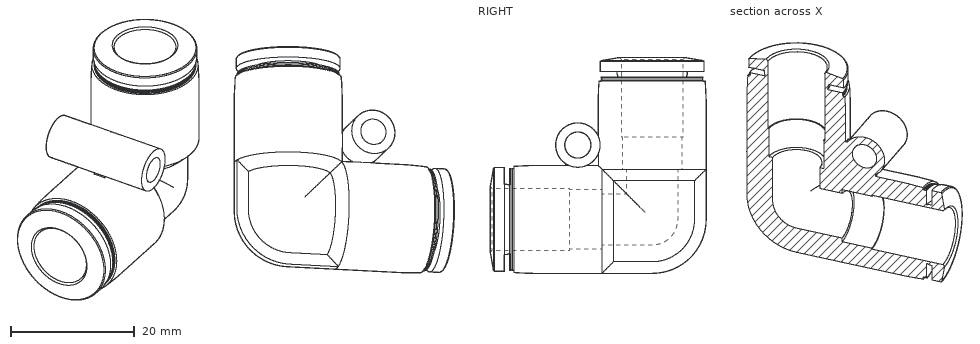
import cadquery as cq


OVERALL = 34.95
BODY_R = 17.5 / 2
PORT_END = OVERALL - BODY_R
CONE_START = 6.25
TAPER_START = 19.25
TAPER_END = 22.37
GROOVE_START = 22.58
GROOVE_END = 22.82
BODY_END = 23.03
NECK_TAPER_END = 23.52
COLLAR_START = 23.9
COLLAR_RIM = 25.5

ELBOW_R = 13.85 / 2
TAPER_R = 8.6
TAPER_MID_R = 8.72
END_RING_R = 16.5 / 2
GROOVE_DEPTH = 0.07
NECK_R = 11.4 / 2
NECK_TAPER = 0.15
COLLAR_R = 16.8 / 2
COLLAR_CHAMFER = 0.17

TUBE_BORE_R = 10.0 / 2
FLOW_BORE_R = 8.3 / 2
SEAT_R = 4.82
SEAT_LENGTH = 5.25
MOUTH_CHAMFER = 0.3

PIN_LENGTH = 18.2
PIN_R = 7.2 / 2
PIN_HOLE_R = 4.2 / 2
PIN_OFFSET = 12.02
WEB_THICKNESS = 2.0
INNER_WEB_REACH = 13.98

BODY_START = CONE_START + BODY_R - ELBOW_R


def on_both_ports(upright):
    """Join an upright shape with its copy turned to point along -Y."""
    return upright.union(upright.rotate((0, 0, 0), (1, 0, 0), 90))


def port_outside():
    """Revolve the elbow leg, body, end ring, neck and release collar."""
    taper_mid = (TAPER_START + TAPER_END) / 2
    groove_r = END_RING_R - GROOVE_DEPTH
    profile = (
        cq.Workplane("XZ")
        .moveTo(0, 0)
        .lineTo(ELBOW_R, 0)
        .lineTo(ELBOW_R, CONE_START)
        .lineTo(BODY_R, BODY_START)
        .lineTo(BODY_R, TAPER_START)
        .threePointArc((TAPER_MID_R, taper_mid), (TAPER_R, TAPER_END))
        .lineTo(END_RING_R, TAPER_END)
        .lineTo(END_RING_R, GROOVE_START)
        .lineTo(groove_r, GROOVE_START)
        .lineTo(groove_r, GROOVE_END)
        .lineTo(END_RING_R, GROOVE_END)
        .lineTo(END_RING_R, BODY_END)
        .lineTo(NECK_R - NECK_TAPER, BODY_END)
        .lineTo(NECK_R, NECK_TAPER_END)
        .lineTo(NECK_R, COLLAR_START)
        .lineTo(COLLAR_R, COLLAR_START)
        .lineTo(COLLAR_R, COLLAR_RIM)
        .lineTo(COLLAR_R - COLLAR_CHAMFER, COLLAR_RIM + COLLAR_CHAMFER)
        .lineTo(TUBE_BORE_R + MOUTH_CHAMFER, PORT_END)
        .lineTo(0, PORT_END)
        .close()
    )
    return profile.revolve(360, (0, 0, 0), (0, 1, 0))


def port_bore():
    """Revolve the flow bore, the tube seat, the tube bore and its chamfered mouth."""
    profile = (
        cq.Workplane("XZ")
        .moveTo(0, 0)
        .lineTo(FLOW_BORE_R, 0)
        .lineTo(FLOW_BORE_R, BODY_START)
        .lineTo(SEAT_R, BODY_START)
        .lineTo(SEAT_R, BODY_START + SEAT_LENGTH)
        .lineTo(TUBE_BORE_R, BODY_START + SEAT_LENGTH)
        .lineTo(TUBE_BORE_R, PORT_END - MOUTH_CHAMFER)
        .lineTo(TUBE_BORE_R + MOUTH_CHAMFER, PORT_END)
        .lineTo(0, PORT_END)
        .close()
    )
    return profile.revolve(360, (0, 0, 0), (0, 1, 0))


def outer_web():
    """Make the flat web round the outside of the bend."""
    arc_mid = BODY_R * 0.5 ** 0.5
    return (
        cq.Workplane("YZ")
        .moveTo(BODY_R, BODY_START)
        .lineTo(BODY_R, 0)
        .threePointArc((arc_mid, -arc_mid), (0, -BODY_R))
        .lineTo(-BODY_START, -BODY_R)
        .lineTo(-BODY_START, BODY_START)
        .close()
        .extrude(WEB_THICKNESS / 2, both=True)
    )


def inner_web():
    """Make the web that ties the cross tube to both port bodies."""
    return (
        cq.Workplane("YZ")
        .rect(-INNER_WEB_REACH, INNER_WEB_REACH, centered=False)
        .extrude(WEB_THICKNESS / 2, both=True)
    )


def cross_cylinder(radius):
    """Make a cylinder along X through the inside corner."""
    return (
        cq.Workplane("YZ")
        .center(-PIN_OFFSET, PIN_OFFSET)
        .circle(radius)
        .extrude(PIN_LENGTH / 2, both=True)
    )


outside = on_both_ports(port_outside()).union(cq.Workplane("XY").sphere(ELBOW_R))
outside = outside.union(outer_web()).union(inner_web()).union(cross_cylinder(PIN_R))

flow_path = on_both_ports(port_bore()).union(cq.Workplane("XY").sphere(FLOW_BORE_R))

result = outside.cut(flow_path).cut(cross_cylinder(PIN_HOLE_R))